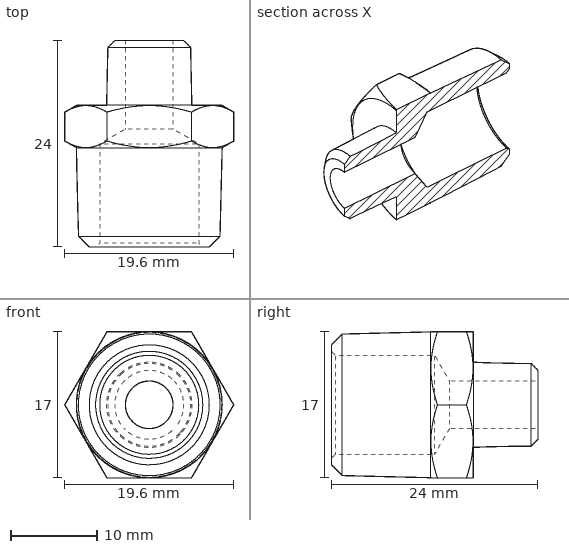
import cadquery as cq
import math

large_length = 11.5
hex_length = 5.0
small_length = 7.5
hex_start = large_length
hex_end = hex_start + hex_length
total_length = hex_end + small_length

across_flats = 17.0
across_corners = across_flats / math.cos(math.pi / 6)
hex_chamfer_radius = 8.4
hex_chamfer_angle = math.radians(30)

large_root_radius = 8.48
large_tip_radius = 8.23
large_chamfer = 1.26
small_root_radius = 4.96
small_tip_radius = 4.82
small_chamfer = 0.82

bore_radius = 5.75
bore_depth = 12.0
bore_chamfer = 0.47
hole_radius = 2.75
drill_half_angle = math.radians(60)


def revolve_about_y(points):
    """Solid of revolution about Y from a closed list of (radius, y) points."""
    return cq.Workplane("XY").polyline(points).close().revolve(360, (0, 0, 0), (0, 1, 0))


def tapered_spigot(base_y, end_y, root_radius, tip_radius, chamfer):
    """Slightly tapered round spigot from base_y to end_y, chamfered at its free end."""
    outward = math.copysign(1, end_y - base_y)
    return revolve_about_y([
        (0, base_y),
        (root_radius, base_y),
        (tip_radius, end_y - outward * chamfer),
        (tip_radius - chamfer, end_y),
        (0, end_y),
    ])


def chamfered_hexagon():
    """Hexagon with corners on the X axis, trimmed by a cone at both ends."""
    corner_radius = across_corners / 2
    corner_drop = (corner_radius - hex_chamfer_radius) * math.tan(hex_chamfer_angle)
    prism = (
        cq.Workplane("XZ", origin=(0, hex_end, 0))
        .polygon(6, across_corners)
        .extrude(hex_length)
    )
    envelope = revolve_about_y([
        (0, hex_start),
        (hex_chamfer_radius, hex_start),
        (corner_radius, hex_start + corner_drop),
        (corner_radius, hex_end - corner_drop),
        (hex_chamfer_radius, hex_end),
        (0, hex_end),
    ])
    return prism.intersect(envelope)


def stepped_bore():
    """Material removed inside: chamfered counterbore, cone and through hole."""
    cone_length = (bore_radius - hole_radius) / math.tan(drill_half_angle)
    return revolve_about_y([
        (0, 0),
        (bore_radius + bore_chamfer, 0),
        (bore_radius, bore_chamfer),
        (bore_radius, bore_depth),
        (hole_radius, bore_depth + cone_length),
        (hole_radius, total_length),
        (0, total_length),
    ])


large_spigot = tapered_spigot(hex_start, 0, large_root_radius, large_tip_radius, large_chamfer)
small_spigot = tapered_spigot(hex_end, total_length, small_root_radius, small_tip_radius, small_chamfer)

result = chamfered_hexagon().union(large_spigot).union(small_spigot).cut(stepped_bore())